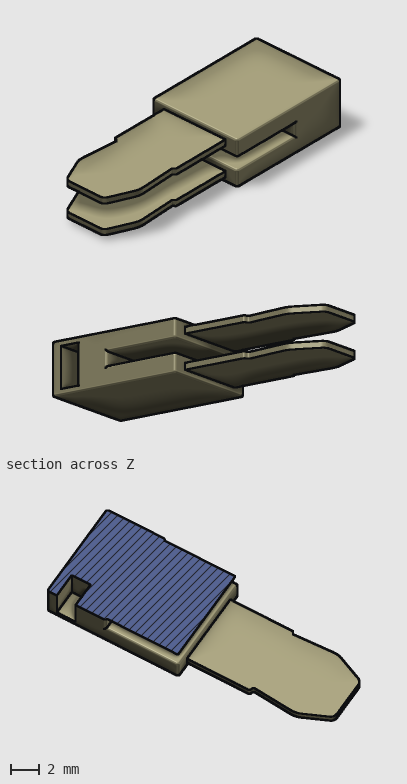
import cadquery as cq
import math


total_length = 22.0

housing_width = 8.0
housing_length = 10.7
housing_height = 4.0
edge_radius = 0.2
housing_front = total_length - housing_length

slot_height = 1.0
slot_end_wall = 4.8
slot_depth = housing_length - slot_end_wall

prong_thickness = 0.5
prong_outer_z = 1.55
prong_half_width = 2.9
prong_embedment = 1.0

tip_half_width = 1.755
tip_radius = 0.5
tip_flank_angle = 24.0
bend_distance = 2.5
bend_half_width = tip_half_width + bend_distance * math.tan(math.radians(tip_flank_angle))
bend_radius = 1.75
shoulder_distance = 6.15
left_neck_half_width = 2.55
right_neck_half_width = 2.68
left_shoulder_radius = 0.18
right_shoulder_radius = 0.12

recess_back_wall = 0.8
recess_length = 1.5
recess_height = 2 * prong_outer_z
recess_depth = 2.0


def make_housing():
    """Slotted block, rounded on every edge except the inner corners of the slot."""
    block = cq.Workplane("XY").box(housing_width, housing_length, housing_height)
    block = block.translate((0, housing_front + housing_length / 2, 0))
    slot = cq.Workplane("XY").box(housing_width, slot_depth, slot_height)
    slot = slot.translate((0, housing_front + slot_depth / 2, 0))
    slot_corners = cq.selectors.BoxSelector(
        (-edge_radius, housing_front + slot_depth - edge_radius, -slot_height),
        (edge_radius, housing_front + slot_depth + edge_radius, slot_height),
    )
    slotted = block.cut(slot)
    all_edges = slotted.edges().objects
    inner_corners = slotted.edges(slot_corners).objects
    rounded_edges = [edge for edge in all_edges if not any(edge.isSame(c) for c in inner_corners)]
    return slotted.newObject(rounded_edges).fillet(edge_radius)


def make_recess():
    """Cutter for the blind recess in the -X side wall."""
    recess = cq.Workplane("XY").box(recess_depth, recess_length, recess_height)
    center_x = (recess_depth - housing_width) / 2
    center_y = total_length - recess_back_wall - recess_length / 2
    return recess.translate((center_x, center_y, 0))


def round_corners(prong, x, y, radius):
    """Round the upright edge of the prong at (x, y)."""
    return prong.edges(cq.selectors.NearestToPointSelector((x, y, prong_thickness / 2))).fillet(radius)


def make_prong():
    """Flat prong with a tapered tip and an unequal notch at each side, lying on Z = 0."""
    prong_end = housing_front + prong_embedment
    outline = [
        (-tip_half_width, 0),
        (tip_half_width, 0),
        (bend_half_width, bend_distance),
        (right_neck_half_width, shoulder_distance),
        (prong_half_width, shoulder_distance),
        (prong_half_width, prong_end),
        (-prong_half_width, prong_end),
        (-prong_half_width, shoulder_distance),
        (-left_neck_half_width, shoulder_distance),
        (-bend_half_width, bend_distance),
    ]
    prong = cq.Workplane("XY").polyline(outline).close().extrude(prong_thickness)
    sides = (
        (-1, left_neck_half_width, left_shoulder_radius),
        (1, right_neck_half_width, right_shoulder_radius),
    )
    for side, neck_half_width, shoulder_radius in sides:
        prong = round_corners(prong, side * tip_half_width, 0, tip_radius)
        prong = round_corners(prong, side * bend_half_width, bend_distance, bend_radius)
        prong = round_corners(prong, side * neck_half_width, shoulder_distance, shoulder_radius)
        prong = round_corners(prong, side * prong_half_width, shoulder_distance, shoulder_radius)
    return prong


housing = make_housing().cut(make_recess())
prong = make_prong()
upper_prong = prong.translate((0, 0, prong_outer_z - prong_thickness))
lower_prong = prong.translate((0, 0, -prong_outer_z))
result = housing.union(upper_prong).union(lower_prong)